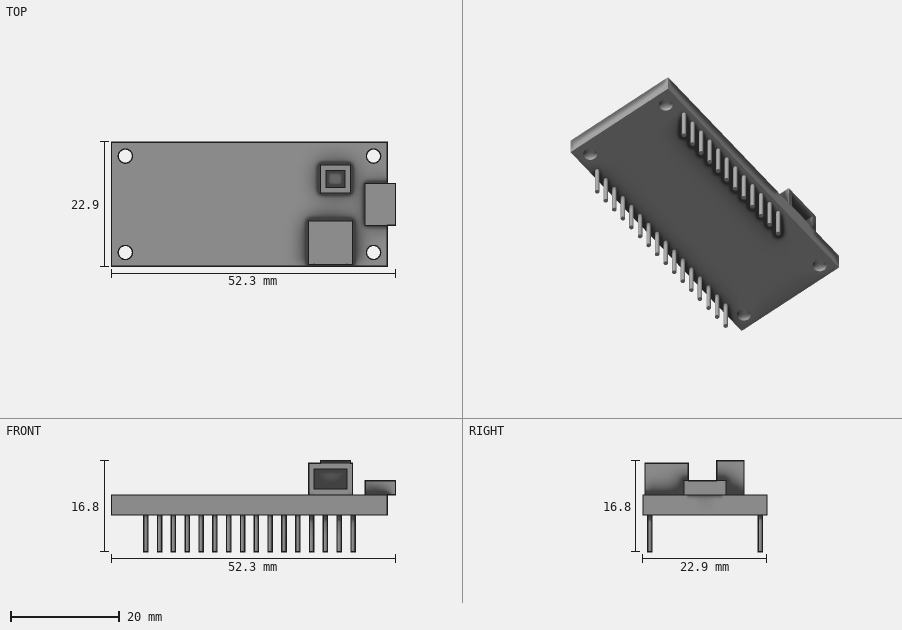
import cadquery as cq

total_length = 52.3
board_length = 50.8
board_width = 22.85
board_thickness = 3.75

hole_diameter = 2.55
hole_inset = 2.55

pin_diameter = 0.85
pin_length = 6.75
pin_start_x = 6.35
pin_row_inset = 1.25
front_pin_count = 12
back_pin_count = 16
back_row_span = 38.15
pin_pitch = back_row_span / (back_pin_count - 1)

usb_length = 5.65
usb_width = 7.75
usb_height = 2.6

socket_wall = 1.0

battery_x = 36.3
battery_inset = 0.35
battery_length = 8.05
battery_depth = 8.0
battery_height = 5.8
battery_opening_length = battery_length - 2 * socket_wall
battery_opening_height = 3.65
battery_opening_depth = battery_depth - socket_wall

header_x = 38.45
header_y = 13.55
header_length = 5.55
header_width = 5.05
header_height = 6.3
header_opening_length = header_length - 2 * socket_wall
header_opening_width = 3.2
header_opening_depth = header_height - socket_wall


def block(x, y, z, length, width, height):
    """Box with its lower left front corner at (x, y, z)."""
    return cq.Workplane("XY").box(length, width, height, centered=False).translate((x, y, z))


def make_board():
    holes = (
        cq.Workplane("XY")
        .center(board_length / 2, board_width / 2)
        .rect(board_length - 2 * hole_inset, board_width - 2 * hole_inset, forConstruction=True)
        .vertices()
        .circle(hole_diameter / 2)
        .extrude(board_thickness)
    )
    return block(0, 0, 0, board_length, board_width, board_thickness).cut(holes)


def make_pin_row(y, count):
    centers = [(pin_start_x + i * pin_pitch, y) for i in range(count)]
    return cq.Workplane("XY").pushPoints(centers).circle(pin_diameter / 2).extrude(-pin_length)


def make_usb_connector():
    x = total_length - usb_length
    y = (board_width - usb_width) / 2
    return block(x, y, board_thickness, usb_length, usb_width, usb_height)


def make_battery_socket():
    body = block(
        battery_x, battery_inset, board_thickness,
        battery_length, battery_depth, battery_height,
    )
    opening = block(
        battery_x + (battery_length - battery_opening_length) / 2,
        battery_inset,
        board_thickness + (battery_height - battery_opening_height) / 2,
        battery_opening_length, battery_opening_depth, battery_opening_height,
    )
    return body.cut(opening)


def make_header_socket():
    body = block(
        header_x, header_y, board_thickness,
        header_length, header_width, header_height,
    )
    opening = block(
        header_x + (header_length - header_opening_length) / 2,
        header_y + (header_width - header_opening_width) / 2,
        board_thickness + header_height - header_opening_depth,
        header_opening_length, header_opening_width, header_opening_depth,
    )
    return body.cut(opening)


result = (
    make_board()
    .union(make_pin_row(pin_row_inset, front_pin_count))
    .union(make_pin_row(board_width - pin_row_inset, back_pin_count))
    .union(make_usb_connector())
    .union(make_battery_socket())
    .union(make_header_socket())
)